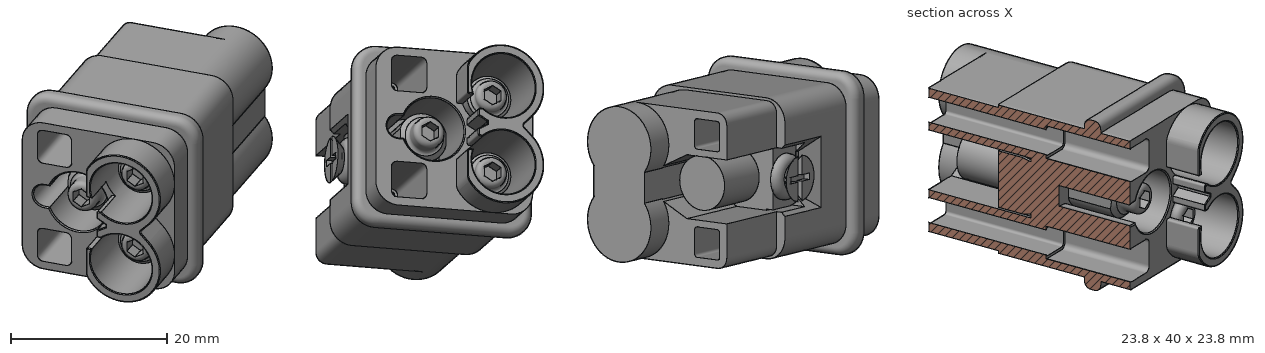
import cadquery as cq
import math

length = 39.95
front_face = 5.0
ring_start = 9.5
ring_end = 12.1
cavity_floor = 15.98
shoulder_back = 25.33
rear_block_back = 36.07

body_size = 20.95
body_half = body_size / 2
body_corner = 2.95
ring_size = 23.8
ring_corner = 3.15
ring_fillet = 1.05

tube_center = 5.07
tube_radius = body_half - tube_center
tube_wall_x = 0.28
tube_edge_chamfer = 0.1
bore_radius = 4.25
opening_top = 3.65
wall_corner_fillet = 1.6
lip_fillet = 0.28
lug_x = 1.7
lug_half = 1.85
keyway_mouth_half = 0.88
keyway_tip_half = 0.15
keyway_depth = 1.25
waist_fillet = 0.3

earth_x = -2.85
earth_bore_radius = 4.15
key_end_x = -8.95
key_half = 1.5
mouth_chamfer = 0.15

tip_radius = 2.05
tip_fillet = 0.7
root_fillet = 0.5
root_radius = tip_radius + root_fillet
power_tip_y = 4.87
power_nose = 1.45
power_pin_radius = 2.9
power_step = 0.2
earth_tip_y = 6.25
earth_nose = 2.65
earth_pin_radius = 3.2
earth_pin_half_width = 3.05
earth_cone = earth_pin_radius - root_radius
socket_diameter = 2.55
socket_depth = 2.0
socket_turn = 30

window_x = -6.05
window_z = 7.05
window_size = 3.95
window_mouth = 4.7
window_step_y = 17.98
window_corner = 0.4
window_mouth_corner = 0.8

rear_half_height = 10.1
rear_left_x = -9.15
rear_corner = 1.48
wire_tube_radius = rear_half_height - tube_center
web_half = 2.0
gap_half = 4.15
gap_taper_x = earth_x
gap_floor_x = 1.05
gap_floor_half = 2.25
terminal_radius = 3.55
terminal_back = 32.8

pocket_half = 4.65
pocket_front = 17.5
pocket_floor_x = -8.55
pocket_floor_half = 2.85
pocket_floor_front = 19.78
slot_front = 20.37
slot_floor_x = -7.6
block_half = 4.0
block_face_x = -8.6
block_bevel_length = 1.28
block_bevel_depth = 0.28
screw_y = 22.85
head_face_x = -11.05
head_radius = 3.0
collar_height = 1.25
collar_fillet = 1.05
cross_width = 0.85
cross_length = 4.0
cross_depth = 0.85


def sketch_at(y):
    """Workplane facing the front at a given Y, with local axes X and Z."""
    return cq.Workplane("XZ", origin=(0, y, 0))


def square_prism(size, corner, start, end):
    """Square bar along Y with rounded corners."""
    return sketch_at(start).rect(size, size).extrude(start - end).edges("|Y").fillet(corner)


def cylinder(x, z, radius, start, end):
    """Round bar along Y."""
    return sketch_at(start).center(x, z).circle(radius).extrude(start - end)


def box(x_range, y_range, z_range):
    """Box given by its limits along each axis."""
    sizes = [high - low for low, high in (x_range, y_range, z_range)]
    corner = (x_range[0], y_range[0], z_range[0])
    return cq.Workplane("XY").box(*sizes, centered=False).translate(corner)


def fillet_edge(part, x, z, radius):
    """Round the front tube edge that runs along Y at the given X and Z."""
    return part.edges(cq.NearestToPointSelector((x, front_face / 2, z))).fillet(radius)


def make_body():
    body = square_prism(body_size, body_corner, front_face, shoulder_back)
    ring = square_prism(ring_size, ring_corner, ring_start, ring_end)
    return body.union(ring.faces("<Y or >Y").edges().fillet(ring_fillet))


def make_rear():
    block = box((rear_left_x, tube_center), (shoulder_back, rear_block_back),
                (-rear_half_height, rear_half_height))
    block = block.edges("|Y and <X").fillet(rear_corner)
    gap = (
        sketch_at(shoulder_back)
        .polyline([
            (rear_left_x, gap_half), (gap_taper_x, gap_half), (gap_floor_x, gap_floor_half),
            (gap_floor_x, -gap_floor_half), (gap_taper_x, -gap_half), (rear_left_x, -gap_half),
        ])
        .close()
        .extrude(shoulder_back - rear_block_back)
    )
    rear = block.cut(gap)
    for z in (tube_center, -tube_center):
        rear = rear.union(cylinder(tube_center, z, wire_tube_radius, shoulder_back, length))
    web_right_x = 2 * tube_center - gap_floor_x
    rear = rear.union(box((gap_floor_x, web_right_x), (shoulder_back, length), (-web_half, web_half)))
    return rear.union(cylinder(earth_x, 0, terminal_radius, shoulder_back, terminal_back))


def make_waist():
    """Bridge between the front tubes, with tangent 45 degree sides meeting on the right."""
    reach = tube_radius * math.sqrt(0.5)
    tangent_x = tube_center + reach
    tangent_z = tube_center - reach
    apex_x = tangent_x - tangent_z
    wedge = (
        sketch_at(0)
        .polyline([
            (tube_center, tube_center), (tangent_x, tangent_z), (apex_x, 0),
            (tangent_x, -tangent_z), (tube_center, -tube_center),
        ])
        .close()
        .extrude(-front_face)
    )
    wedge = fillet_edge(wedge, apex_x, 0, waist_fillet)
    lug = box((lug_x, tube_center), (0, front_face), (-lug_half, lug_half))
    return wedge.union(lug)


def make_front_tubes():
    tubes = make_waist()
    for z in (tube_center, -tube_center):
        tubes = tubes.union(cylinder(tube_center, z, tube_radius, 0, front_face))
    tubes = tubes.cut(box((-tube_radius, tube_wall_x), (0, front_face), (-body_half, body_half)))
    tubes = tubes.cut(box((tube_wall_x, lug_x), (0, front_face), (-opening_top, opening_top)))
    for side_range in ((lug_half, opening_top), (-opening_top, -lug_half)):
        tubes = tubes.cut(box((lug_x, tube_center), (0, front_face), side_range))
    keyway = (
        sketch_at(0)
        .polyline([
            (lug_x, keyway_mouth_half), (lug_x + keyway_depth, keyway_tip_half),
            (lug_x + keyway_depth, -keyway_tip_half), (lug_x, -keyway_mouth_half),
        ])
        .close()
        .extrude(-front_face)
    )
    tubes = tubes.cut(keyway)
    wall_top = tube_center + math.sqrt(tube_radius**2 - (tube_center - tube_wall_x) ** 2)
    for side in (1, -1):
        tubes = fillet_edge(tubes, tube_wall_x, side * wall_top, wall_corner_fillet)
        tubes = fillet_edge(tubes, tube_wall_x, side * opening_top, lip_fillet)
        tubes = fillet_edge(tubes, lug_x, side * lug_half, lip_fillet)
    return tubes


def cut_tube_bores(housing):
    for z in (tube_center, -tube_center):
        housing = housing.cut(cylinder(tube_center, z, bore_radius, 0, cavity_floor))
    return housing.faces("<Y").edges().chamfer(tube_edge_chamfer)


def cut_earth_cavity(housing):
    key_round = cylinder(key_end_x + key_half, 0, key_half, front_face, cavity_floor)
    key_slot = box((key_end_x + key_half, earth_x), (front_face, cavity_floor), (-key_half, key_half))
    cavity = cylinder(earth_x, 0, earth_bore_radius, front_face, cavity_floor)
    housing = housing.cut(cavity.union(key_slot).union(key_round))
    reach = earth_bore_radius + mouth_chamfer
    mouth_edges = cq.selectors.BoxSelector((key_end_x - mouth_chamfer, 0, -reach),
                                           (earth_x + reach, cavity_floor, reach))
    return housing.faces("<Y").edges(mouth_edges).chamfer(mouth_chamfer)


def cut_windows(housing):
    for z in (window_z, -window_z):
        hole = square_prism(window_size, window_corner, front_face, rear_block_back)
        mouth = square_prism(window_mouth, window_mouth_corner, front_face, window_step_y)
        housing = housing.cut(hole.union(mouth).translate((window_x, 0, z)))
    return housing


def make_pin(x, z, tip_y, nose_length, base_radius, cone_length):
    """Contact pin on the cavity floor: rounded nose, shoulder and hexagon socket."""
    nose_root = tip_y + nose_length
    diagonal = math.sqrt(0.5)
    tip_arc_mid = (tip_radius - tip_fillet * (1 - diagonal), tip_y + tip_fillet * (1 - diagonal))
    root_arc_mid = (root_radius - root_fillet * diagonal, nose_root - root_fillet * (1 - diagonal))
    pin = (
        cq.Workplane("XY", origin=(x, 0, z))
        .moveTo(0, tip_y)
        .lineTo(tip_radius - tip_fillet, tip_y)
        .threePointArc(tip_arc_mid, (tip_radius, tip_y + tip_fillet))
        .lineTo(tip_radius, nose_root - root_fillet)
        .threePointArc(root_arc_mid, (root_radius, nose_root))
        .lineTo(base_radius, nose_root + cone_length)
        .lineTo(base_radius, cavity_floor)
        .lineTo(0, cavity_floor)
        .close()
        .revolve(360, (0, 0, 0), (0, 1, 0))
    )
    socket = (
        sketch_at(tip_y)
        .center(x, z)
        .transformed(rotate=(0, 0, socket_turn))
        .polygon(6, socket_diameter)
        .extrude(-socket_depth)
    )
    return pin.cut(socket)


def make_pins():
    pins = [make_pin(tube_center, z, power_tip_y, power_nose, power_pin_radius, power_step)
            for z in (tube_center, -tube_center)]
    earth_pin = make_pin(earth_x, 0, earth_tip_y, earth_nose, earth_pin_radius, earth_cone)
    width_limit = box((earth_x - earth_pin_half_width, earth_x + earth_pin_half_width),
                      (earth_tip_y, cavity_floor), (-earth_pin_radius, earth_pin_radius))
    return pins + [earth_pin.intersect(width_limit)]


def cut_side_pocket(housing):
    """Pocket open to the rear whose three walls slope in to its floor."""
    mirror_y = 2 * shoulder_back
    outer_length = mirror_y - 2 * pocket_front
    floor_length = mirror_y - 2 * pocket_floor_front
    funnel = (
        cq.Workplane("YZ", origin=(-body_half, shoulder_back, 0))
        .rect(outer_length, 2 * pocket_half)
        .workplane(offset=body_half + pocket_floor_x)
        .rect(floor_length, 2 * pocket_floor_half)
        .loft(ruled=True)
    )
    pocket = funnel.intersect(box((-body_half, pocket_floor_x), (pocket_front, shoulder_back),
                                  (-pocket_half, pocket_half)))
    slot = box((-body_half, slot_floor_x), (slot_front, shoulder_back), (-gap_half, gap_half))
    return housing.cut(pocket).cut(slot)


def make_clamp():
    """Clamp block with a round collar and a countersunk cross-slotted screw."""
    block = box((block_face_x, slot_floor_x), (slot_front, shoulder_back), (-block_half, block_half))
    block = block.edges("|X and <Y").chamfer(block_bevel_depth, block_bevel_length)
    collar = (
        cq.Workplane("YZ", origin=(block_face_x, screw_y, 0))
        .circle(head_radius)
        .extrude(-collar_height)
        .faces("<X").edges().fillet(collar_fillet)
    )
    head_depth = block_face_x - collar_height - head_face_x
    head = (
        cq.Workplane("YZ", origin=(head_face_x, screw_y, 0))
        .circle(head_radius)
        .workplane(offset=head_depth)
        .circle(head_radius - head_depth)
        .loft()
    )
    slots = cq.Workplane("YZ", origin=(head_face_x, screw_y, 0))
    slots = slots.rect(cross_width, 2 * head_radius).extrude(cross_depth).union(
        slots.rect(cross_length, cross_width).extrude(cross_depth))
    return block.union(collar).union(head.cut(slots))


housing = make_body().union(make_rear())
housing = cut_earth_cavity(housing)
housing = cut_windows(housing)
housing = cut_side_pocket(housing)
housing = cut_tube_bores(housing.union(make_front_tubes()))
result = housing.union(make_clamp())
for pin in make_pins():
    result = result.union(pin)